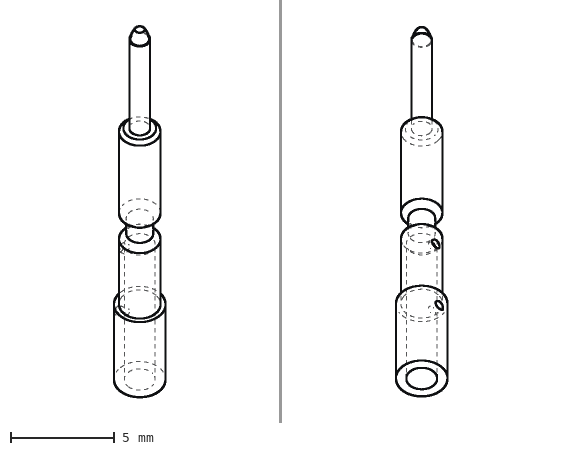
import cadquery as cq

total_length = 23.3
collar_diameter = 2.5
collar_height = 5.0
body_diameter = 2.0
neck_diameter = 1.3
neck_bottom = 9.72
neck_top = 10.72
shoulder_height = 16.73
shoulder_chamfer = 0.2
pin_diameter = 1.0
tip_length = 0.65
tip_base_diameter = 0.9
tip_flat_diameter = 0.47
tip_bulge_radius = 0.4

bore_diameter = 1.5
bore_depth = 9.0

hole_diameter = 0.5
collar_hole_height = 4.03
body_hole_height = 8.32

collar_radius = collar_diameter / 2
body_radius = body_diameter / 2
neck_radius = neck_diameter / 2
pin_radius = pin_diameter / 2
neck_chamfer = body_radius - neck_radius
tip_bottom = total_length - tip_length


def make_turned_body():
    """Revolve the half profile of the contact about the Z axis."""
    profile = (
        cq.Workplane("XZ")
        .lineTo(collar_radius, 0)
        .lineTo(collar_radius, collar_height)
        .lineTo(body_radius, collar_height)
        .lineTo(body_radius, neck_bottom - neck_chamfer)
        .lineTo(neck_radius, neck_bottom)
        .lineTo(neck_radius, neck_top)
        .lineTo(body_radius, neck_top + neck_chamfer)
        .lineTo(body_radius, shoulder_height - shoulder_chamfer)
        .lineTo(body_radius - shoulder_chamfer, shoulder_height)
        .lineTo(pin_radius, shoulder_height)
        .lineTo(pin_radius, tip_bottom)
        .lineTo(tip_base_diameter / 2, tip_bottom)
        .threePointArc(
            (tip_bulge_radius, total_length - tip_length / 2),
            (tip_flat_diameter / 2, total_length),
        )
        .lineTo(0, total_length)
        .close()
    )
    return profile.revolve(360, (0, 0, 0), (0, 1, 0))


def make_wire_bore():
    """Flat-ended bore running up the axis from the bottom face."""
    return cq.Workplane("XY").circle(bore_diameter / 2).extrude(bore_depth)


def make_inspection_hole(height):
    """Radial hole from the axis out through the -X wall."""
    return (
        cq.Workplane("YZ")
        .center(0, height)
        .circle(hole_diameter / 2)
        .extrude(-collar_diameter)
    )


result = make_turned_body().cut(make_wire_bore())
for hole_height in (collar_hole_height, body_hole_height):
    result = result.cut(make_inspection_hole(hole_height))